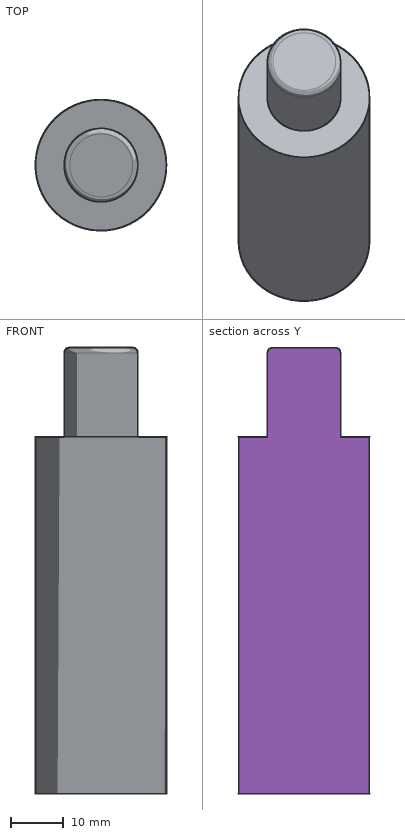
import cadquery as cq

total_length = 85.0
body_length = 68.0
body_diameter = 25.0
pin_diameter = 14.0
pin_edge_radius = 1.0

pin_length = total_length - body_length

body = cq.Workplane("XY").circle(body_diameter / 2).extrude(body_length)

pin = (
    cq.Workplane("XY", origin=(0, 0, body_length))
    .circle(pin_diameter / 2)
    .extrude(pin_length)
    .faces(">Z")
    .edges()
    .fillet(pin_edge_radius)
)

result = body.union(pin)